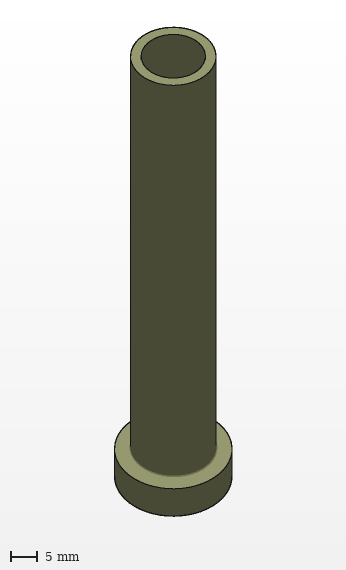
import cadquery as cq

total_length = 107.0
head_diameter = 22.0
head_height = 7.0
tube_diameter = 16.0
bore_diameter = 12.0
neck_fillet_radius = 0.7

head_radius = head_diameter / 2
tube_radius = tube_diameter / 2
bore_radius = bore_diameter / 2
neck_radius = tube_radius + neck_fillet_radius
neck_top = head_height + neck_fillet_radius


def sleeve_profile():
    """Half section in the XZ plane, with a concave fillet where the tube meets the head."""
    return (
        cq.Workplane("XZ")
        .moveTo(bore_radius, 0)
        .lineTo(head_radius, 0)
        .lineTo(head_radius, head_height)
        .lineTo(neck_radius, head_height)
        .radiusArc((tube_radius, neck_top), neck_fillet_radius)
        .lineTo(tube_radius, total_length)
        .lineTo(bore_radius, total_length)
        .close()
    )


result = sleeve_profile().revolve(360, (0, 0, 0), (0, 1, 0))